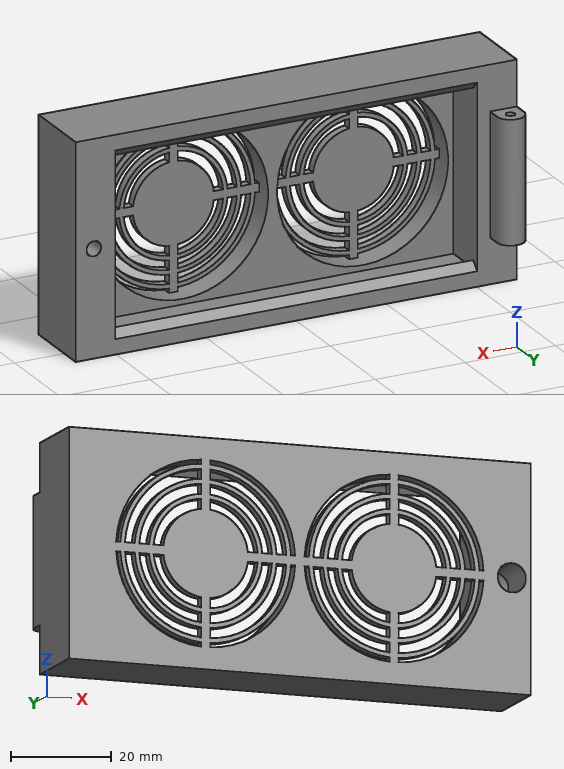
import cadquery as cq
LENGTH = 98.0
HEIGHT = 47.0
TOTAL_DEPTH = 22.5
BODY_DEPTH = 16.5
MID_Z = HEIGHT / 2

KNUCKLE_DIAMETER = 6.0
KNUCKLE_LENGTH = 26.95
PIN_DIAMETER = 2.0

FAN_SIZE = 40.0
FAN_THICKNESS = 7.0
CAVITY_CLEARANCE = 0.4
CAVITY_LENGTH = 2 * FAN_SIZE + CAVITY_CLEARANCE
CAVITY_HEIGHT = FAN_SIZE + CAVITY_CLEARANCE
FRONT_WALL = 6.0
FAN_CENTERS_X = (LENGTH / 2 - FAN_SIZE / 2, LENGTH / 2 + FAN_SIZE / 2)

GRILLE_DIAMETER = 38.0
HUB_RADIUS = 9.0
RING_WIDTH = 1.0
RING_PITCH = 3.0
RING_COUNT = 3
SPOKE_WIDTH = 2.0
GRILLE_THICKNESS = 2.0

SCREW_X = 94.0
SCREW_DIAMETER = 3.2
SCREW_HEAD_DIAMETER = 6.0
COUNTERBORE_DEPTH = 9.8
COUNTERSINK_DEPTH = 1.7


def cylinder_along_y(x, radius, depth):
    """Solid cylinder from the grille face inward, at mid height."""
    return cq.Workplane("XZ", origin=(x, 0, MID_Z)).circle(radius).extrude(-depth)


def make_body():
    """Housing block with the fan cavity open at the back."""
    block = cq.Workplane("XY").box(LENGTH, BODY_DEPTH, HEIGHT, centered=False)
    cavity = (
        cq.Workplane("XZ", origin=(LENGTH / 2, FRONT_WALL, MID_Z))
        .rect(CAVITY_LENGTH, CAVITY_HEIGHT)
        .extrude(-(BODY_DEPTH - FRONT_WALL))
    )
    return block.cut(cavity)


def make_snap_ridges():
    """Ridges with 45 degree flanks along the cavity floor and ceiling, holding the fans in."""
    ridge_start_y = FRONT_WALL + FAN_THICKNESS
    ridge_height = (BODY_DEPTH - ridge_start_y) / 2
    ridges = cq.Workplane("XY")
    for side in (-1, 1):
        wall_z = MID_Z + side * CAVITY_HEIGHT / 2
        ridge = (
            cq.Workplane("YZ", origin=(LENGTH / 2, 0, 0))
            .moveTo(ridge_start_y, wall_z)
            .lineTo(ridge_start_y + ridge_height, wall_z - side * ridge_height)
            .lineTo(BODY_DEPTH, wall_z)
            .close()
            .extrude(CAVITY_LENGTH / 2, both=True)
        )
        ridges = ridges.add(ridge)
    return ridges


def make_grille_slots(x):
    """Openings between the hub, the rings and the spokes of one fan."""
    slots = cylinder_along_y(x, GRILLE_DIAMETER / 2, GRILLE_THICKNESS)
    slots = slots.cut(cylinder_along_y(x, HUB_RADIUS, GRILLE_THICKNESS))
    for index in range(1, RING_COUNT + 1):
        outer_radius = HUB_RADIUS + index * RING_PITCH
        ring = cylinder_along_y(x, outer_radius, GRILLE_THICKNESS)
        ring = ring.cut(cylinder_along_y(x, outer_radius - RING_WIDTH, GRILLE_THICKNESS))
        slots = slots.cut(ring)
    for width, height in ((GRILLE_DIAMETER, SPOKE_WIDTH), (SPOKE_WIDTH, GRILLE_DIAMETER)):
        spoke = (
            cq.Workplane("XZ", origin=(x, 0, MID_Z))
            .rect(width, height)
            .extrude(-GRILLE_THICKNESS)
        )
        slots = slots.cut(spoke)
    return slots


def make_fan_duct(x):
    """Round bore through the front wall behind one grille."""
    bore = cylinder_along_y(x, GRILLE_DIAMETER / 2, FRONT_WALL)
    return bore.cut(cylinder_along_y(x, GRILLE_DIAMETER / 2, GRILLE_THICKNESS))


def make_screw_hole():
    """Through hole with a counterbore and a conical seat for the screw head."""
    hole = cylinder_along_y(SCREW_X, SCREW_DIAMETER / 2, BODY_DEPTH)
    counterbore = cylinder_along_y(SCREW_X, SCREW_HEAD_DIAMETER / 2, COUNTERBORE_DEPTH)
    countersink = cq.Solid.makeCone(
        SCREW_HEAD_DIAMETER / 2,
        SCREW_DIAMETER / 2,
        COUNTERSINK_DEPTH,
        pnt=cq.Vector(SCREW_X, COUNTERBORE_DEPTH, MID_Z),
        dir=cq.Vector(0, 1, 0),
    )
    return hole.union(counterbore).union(cq.Workplane(obj=countersink))


def make_knuckle():
    """Upright hinge knuckle, flush with the end face, rounded around the pin hole."""
    radius = KNUCKLE_DIAMETER / 2
    pin_y = TOTAL_DEPTH - radius
    base = cq.Workplane("XY", origin=(0, 0, MID_Z - KNUCKLE_LENGTH / 2))
    knuckle = (
        base.moveTo(0, BODY_DEPTH)
        .lineTo(KNUCKLE_DIAMETER, BODY_DEPTH)
        .lineTo(KNUCKLE_DIAMETER, pin_y)
        .threePointArc((radius, TOTAL_DEPTH), (0, pin_y))
        .close()
        .extrude(KNUCKLE_LENGTH)
    )
    pin_hole = base.center(radius, pin_y).circle(PIN_DIAMETER / 2).extrude(KNUCKLE_LENGTH)
    return knuckle.cut(pin_hole)


body = make_body().union(make_snap_ridges()).union(make_knuckle())
for fan_x in FAN_CENTERS_X:
    body = body.cut(make_fan_duct(fan_x))
    body = body.cut(make_grille_slots(fan_x))
result = body.cut(make_screw_hole())